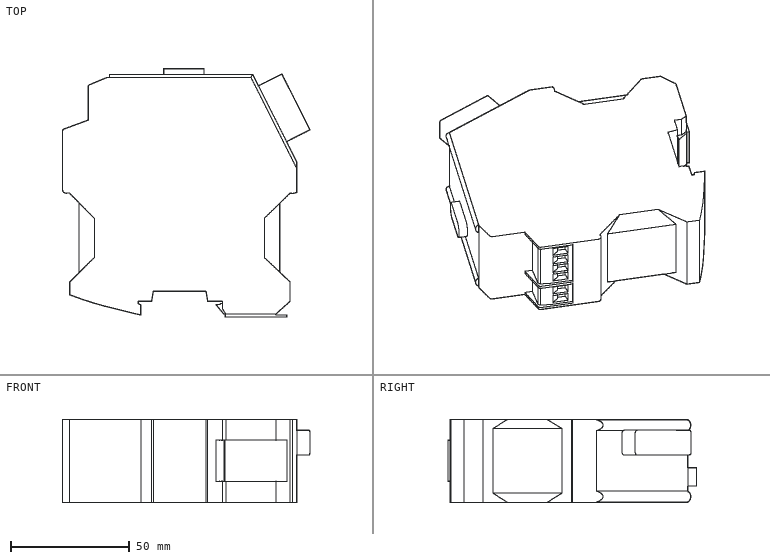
import cadquery as cq
import math


total_reach = 104.6
total_height = 105.0
width = 35.2

overlap = 1.0

body_right = 99.0
shoulder_x = 10.8
shoulder_y = 83.3
brow_y = 98.0
front_y = 101.3
front_left = 18.9
front_right = 79.6
slope_angle = math.radians(26.7)
left_top_y = 79.3
belly_y = 52.4
belly_corner_y = 52.3
belly_left = 2.9
belly_lip = 1.0
belly_lip_drop = 0.2
edge_radius = 1.0
belly_radius = 1.6

waist_left = 13.4
waist_right = 85.3
waist_top = 41.8
waist_bottom = 25.2
foot_left = 3.0
foot_right = 96.2
foot_top = 14.9
heel_start_y = 9.5
heel_middle = (10.4, 6.8)
heel_end = (17.8, 4.6)

bottom_y = 1.3
rail_seat_y = 6.7
channel_y = 10.9
channel_left = 38.4
channel_right = 60.6
channel_draft = 0.7
left_jaw_x = 33.2
left_jaw_y = 0.8
left_jaw_top = 5.2
left_jaw_lead = (32.0, 5.8)
right_jaw_x = 67.5
right_jaw_bottom = 3.7
jaw_bevel = 1.6

block_left = 6.9
block_right = 91.9
block_bottom = 18.7
block_top = 48.3
block_inset = 4.0

bead_start = 19.8
bead_chord = 4.6
bead_rise = 1.3
bead_margin = 0.2
bead_root = 0.5

terminal_bays = [
    (13.1, 34.0, 16.2, 4),
    (1.2, 12.0, 4.1, 2),
]
window_pitch = 4.8
bay_bottom = 64.7
plug_face_x = 1.0
plug_bend_y = 74.1
plug_top_x = 1.6
plug_top_y = 78.5
plug_bevel = 0.8
plug_back_y = 80.0
window_bottom = 66.7
window_top = 73.2
window_height = 3.8
window_ramp_x = 3.0
window_floor_x = 3.8
window_floor_bottom = 67.3
window_step_y = 70.8

button_left = 42.7
button_length = 17.1
button_low = 6.9
button_width = 7.8
button_upper_radius = 2.3
button_lower_radius = 2.7

plug_start = 4.6
plug_length = 26.5
plug_low = 20.1
plug_width = 10.5
plug_radius = 1.0

clip_low = 8.9
clip_width = 17.4
clip_left = 68.7
clip_right = 94.8
clip_thickness = 0.9
hook_tip = (64.8, 5.4)
hook_root_x = 68.1
hook_back_x = 70.4
hook_top = [(67.1, 5.9), (66.4, 5.5)]
bottom_right = 90.1


def block(x0, x1, y0, y1, z0, z1):
    """Box between two opposite corners."""
    return cq.Workplane("XY").box(x1 - x0, y1 - y0, z1 - z0, centered=False).translate((x0, y0, z0))


def prism(points, z0, z1):
    """Polygon in XY extruded from z0 to z1."""
    return cq.Workplane("XY").workplane(offset=z0).polyline(points).close().extrude(z1 - z0)


slope_end_y = front_y - (body_right - front_right) / math.tan(slope_angle)


def make_body():
    outline = (
        cq.Workplane("XY")
        .moveTo(0, left_top_y)
        .lineTo(0, belly_corner_y)
        .lineTo(belly_left, belly_y)
        .lineTo(waist_left, waist_top)
        .lineTo(waist_left, waist_bottom)
        .lineTo(foot_left, foot_top)
        .lineTo(foot_left, heel_start_y)
        .threePointArc(heel_middle, heel_end)
        .lineTo(left_jaw_x, left_jaw_y)
        .lineTo(left_jaw_x, left_jaw_top)
        .lineTo(*left_jaw_lead)
        .lineTo(left_jaw_lead[0], rail_seat_y)
        .lineTo(channel_left - channel_draft, rail_seat_y)
        .lineTo(channel_left, channel_y)
        .lineTo(channel_right, channel_y)
        .lineTo(channel_right + channel_draft, rail_seat_y)
        .lineTo(right_jaw_x, rail_seat_y)
        .lineTo(right_jaw_x, right_jaw_bottom)
        .lineTo(right_jaw_x + jaw_bevel, bottom_y)
        .lineTo(bottom_right, bottom_y)
        .lineTo(foot_right, rail_seat_y)
        .lineTo(foot_right, foot_top)
        .lineTo(waist_right, waist_bottom)
        .lineTo(waist_right, waist_top)
        .lineTo(foot_right, belly_y)
        .lineTo(foot_right + belly_lip, belly_y - belly_lip_drop)
        .lineTo(body_right, belly_y + belly_lip_drop)
        .lineTo(body_right, slope_end_y)
        .lineTo(front_right, front_y)
        .lineTo(front_left, front_y)
        .lineTo(shoulder_x, brow_y)
        .lineTo(shoulder_x, shoulder_y)
        .close()
    )
    body = outline.extrude(width)
    rounded_corners = [
        (0, left_top_y, edge_radius),
        (shoulder_x, brow_y, edge_radius),
        (0, belly_corner_y, belly_radius),
    ]
    for x, y, radius in rounded_corners:
        corner_edge = cq.selectors.NearestToPointSelector((x, y, width / 2))
        body = body.edges(corner_edge).fillet(radius)
    return body


def make_waist_block(outer_x, inner_x):
    """Block with bevelled sides reaching from the waist wall out to outer_x."""
    section = [
        (inner_x, 0),
        (outer_x, block_inset),
        (outer_x, width - block_inset),
        (inner_x, width),
    ]
    return (
        cq.Workplane("XZ", origin=(0, block_top, 0))
        .polyline(section)
        .close()
        .extrude(block_top - block_bottom)
    )


def make_bead(z_low):
    """Rounded bead along the front and down the slope."""
    overrun = 2.1
    path = (
        cq.Workplane("XY", origin=(0, 0, z_low))
        .moveTo(bead_start, front_y)
        .lineTo(front_right, front_y)
        .lineTo(
            body_right + overrun * math.sin(slope_angle),
            slope_end_y - overrun * math.cos(slope_angle),
        )
    )
    bead = (
        cq.Workplane("YZ", origin=(bead_start, front_y, z_low))
        .moveTo(-bead_root, 0)
        .lineTo(0, 0)
        .threePointArc((bead_rise, bead_chord / 2), (0, bead_chord))
        .lineTo(-bead_root, bead_chord)
        .close()
        .sweep(path, transition="right")
    )
    return bead.intersect(block(0, body_right, slope_end_y - 2 * overrun, total_height, 0, width))


def make_bay(z_low, z_high, first_centre, window_count):
    """Cutter that bares the terminal plug and its windows."""
    bay = prism(
        [
            (-overlap, bay_bottom),
            (plug_face_x, bay_bottom),
            (plug_face_x, plug_bend_y),
            (plug_top_x, plug_top_y),
            (plug_top_x + plug_bevel, plug_top_y + plug_bevel),
            (shoulder_x, plug_back_y),
            (shoulder_x, shoulder_y + overlap),
            (-overlap, shoulder_y + overlap),
        ],
        z_low,
        z_high,
    )
    for index in range(window_count):
        centre = first_centre + index * window_pitch
        bay = bay.union(
            prism(
                [
                    (plug_face_x, window_bottom),
                    (window_floor_x, window_floor_bottom),
                    (window_floor_x, window_step_y),
                    (window_ramp_x, window_step_y),
                    (plug_face_x, window_top),
                    (0, window_top),
                    (0, window_bottom),
                ],
                centre - window_height / 2,
                centre + window_height / 2,
            )
        )
    return bay


def make_button():
    button = block(
        button_left, button_left + button_length,
        front_y - overlap, total_height,
        button_low, button_low + button_width,
    )
    button = button.faces(">Z").edges("|Y").fillet(button_upper_radius)
    return button.faces("<Z").edges("|Y").fillet(button_lower_radius)


def make_connector():
    """Plug standing square on the slope; its far corner sets the overall reach in X."""
    plug_end = plug_start + plug_length
    corner_run = total_reach - front_right - plug_end * math.sin(slope_angle)
    plug_rise = corner_run / math.cos(slope_angle)
    connector = block(-overlap, plug_rise, -plug_end, -plug_start, plug_low, plug_low + plug_width)
    connector = connector.edges("|X").fillet(plug_radius)
    return connector.rotate((0, 0, 0), (0, 0, 1), math.degrees(slope_angle)).translate(
        (front_right, front_y, 0)
    )


def make_clip():
    clip_high = clip_low + clip_width
    plate = block(clip_left, clip_right, 0, clip_thickness, clip_low, clip_high)
    web = block(clip_left, bottom_right, 0, bottom_y + overlap, clip_low, clip_high)
    hook = prism(
        [
            hook_tip,
            (hook_root_x, bottom_y),
            (hook_back_x, bottom_y),
            (hook_back_x, hook_top[0][1]),
            *hook_top,
        ],
        clip_low,
        clip_high,
    )
    return plate.union(web).union(hook)


result = make_body()
result = result.union(make_waist_block(block_left, waist_left))
result = result.union(make_waist_block(block_right, waist_right))
for z_low in (bead_margin, width - bead_margin - bead_chord):
    result = result.union(make_bead(z_low))
for bay in terminal_bays:
    result = result.cut(make_bay(*bay))
result = result.union(make_button())
result = result.union(make_connector())
result = result.union(make_clip())